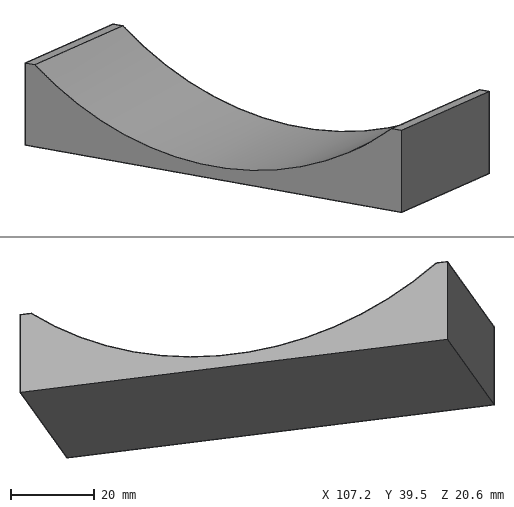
import cadquery as cq

length = 107.2
width = 39.5
height = 20.6

land_width = 2.8
floor_thickness = 3.1

half_length = length / 2
half_opening = half_length - land_width

profile = (
    cq.Workplane("XZ")
    .moveTo(-half_length, 0)
    .lineTo(half_length, 0)
    .lineTo(half_length, height)
    .lineTo(half_opening, height)
    .threePointArc((0, floor_thickness), (-half_opening, height))
    .lineTo(-half_length, height)
    .close()
)

result = profile.extrude(width / 2, both=True)